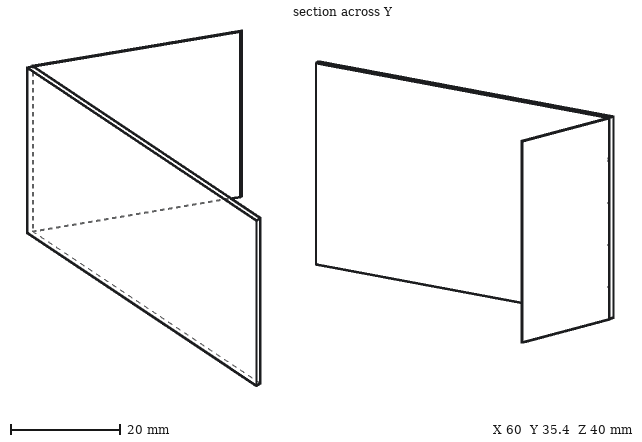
import cadquery as cq
import math

plate_length = 60.0
height = 40.0
total_depth = 35.4
plate_thickness = 1.0
plate_end_inset = 0.5
flap_angle = 60.0
flap_start = 0.3
flap_width = 0.3

plate = (
    cq.Workplane("XY")
    .lineTo(plate_length, 0)
    .lineTo(plate_length, plate_thickness)
    .lineTo(plate_end_inset, plate_thickness)
    .close()
    .extrude(height)
)

slope = math.tan(math.radians(flap_angle))
tip_x = flap_start + (total_depth - plate_thickness) / slope
tip_inner_y = total_depth - flap_width * slope

flap = (
    cq.Workplane("XY")
    .moveTo(flap_start, plate_thickness)
    .lineTo(tip_x, total_depth)
    .lineTo(tip_x, tip_inner_y)
    .lineTo(flap_start + flap_width, plate_thickness)
    .close()
    .extrude(height)
)

result = plate.union(flap)